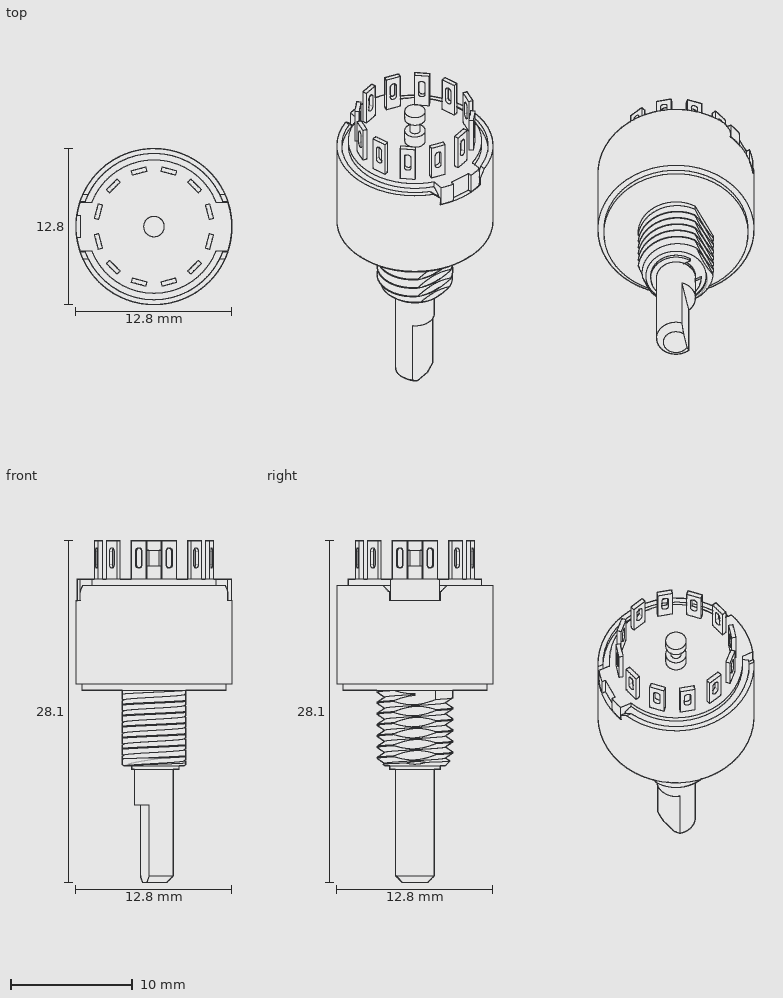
import cadquery as cq


total_length = 28.05

can_diameter = 12.81
can_radius = can_diameter / 2
flange_radius = 5.92
flange_height = 0.5
wafer_top = 9.1
rim_drop = 0.5
rim_top = wafer_top - rim_drop

wafer_radius = 5.47
groove_outer_radius = 6.0
groove_depth = rim_drop

tab_radius = 6.37
tab_half_width = 2.0
notch_half_width = 2.07
tab_height = 1.77
notch_floor = wafer_top - tab_height
notch_chamfer = 0.55
recess_half_width = 0.9

terminal_count = 12
terminal_circle_radius = 4.7
terminal_width = 1.23
terminal_thickness = 0.36
terminal_height = 3.17
eyelet_width = 0.53
eyelet_length = 1.63
eyelet_center_drop = 1.43

post_radius = 0.85
post_neck_radius = 0.42
post_base_height = 1.1
post_neck_height = 1.25

bushing_radius = 3.1
bushing_length = 6.2
bushing_flat_distance = 2.6
bushing_chamfer = 0.65
thread_root_radius = 2.5
thread_crest_width = 0.08
thread_start_depth = 0.35
thread_overcut = 0.03
thread_turns = 7
thread_length = 6.35
thread_pitch = thread_length / thread_turns

clip_radius = 2.07
clip_thickness = 0.28
clip_opening = 1.95
clip_bottom = -bushing_length - clip_thickness

shaft_radius = 1.6
shaft_seat_radius = 1.43
shaft_bottom = wafer_top + terminal_height - total_length
shaft_flat_top = -9.4
shaft_flat_distance = 0.79
shaft_flat_angle = 195
shaft_tip_chamfer = 0.55


def cylinder(radius, bottom, top):
    return cq.Workplane("XY").workplane(offset=bottom).circle(radius).extrude(top - bottom)


def centered_box(x_size, y_size, bottom, top):
    return (
        cq.Workplane("XY").workplane(offset=bottom).rect(x_size, y_size).extrude(top - bottom)
    )


def make_can():
    """Stepped can with a ring groove whose sloped floor falls outward from the rim level."""
    can = cylinder(flange_radius, 0, flange_height).union(
        cylinder(can_radius, flange_height, rim_top)
    )
    ring_groove = (
        cq.Workplane("XZ")
        .moveTo(wafer_radius, rim_top)
        .lineTo(groove_outer_radius, rim_top - groove_depth)
        .lineTo(groove_outer_radius, rim_top)
        .close()
        .revolve(360, (0, 0, 0), (0, 1, 0))
    )
    return can.cut(ring_groove)


def make_notches():
    """Two opposite notches in the can wall, with chamfered mouths."""
    mouth_half_width = notch_half_width + notch_chamfer
    through_both_walls = (
        cq.Workplane("YZ")
        .moveTo(-notch_half_width, notch_floor)
        .lineTo(-notch_half_width, rim_top - notch_chamfer)
        .lineTo(-mouth_half_width, rim_top)
        .lineTo(mouth_half_width, rim_top)
        .lineTo(notch_half_width, rim_top - notch_chamfer)
        .lineTo(notch_half_width, notch_floor)
        .close()
        .extrude(can_radius, both=True)
    )
    return through_both_walls.cut(cylinder(groove_outer_radius, 0, wafer_top))


def make_wafer():
    """Raised disc with two opposite tabs, one of them recessed."""
    disc = cylinder(wafer_radius, rim_top, wafer_top)
    tabs = cylinder(tab_radius, notch_floor, wafer_top).intersect(
        centered_box(2 * tab_radius, 2 * tab_half_width, notch_floor, wafer_top)
    )
    recess = (
        centered_box(can_radius, 2 * recess_half_width, notch_floor, wafer_top)
        .translate((-groove_outer_radius - can_radius / 2, 0, 0))
    )
    return disc.union(tabs.cut(recess))


def make_terminal(angle):
    """Upright solder tag with an eyelet, facing the axis at the given angle."""
    top = wafer_top + terminal_height
    blade = centered_box(terminal_thickness, terminal_width, wafer_top, top)
    eyelet = (
        cq.Workplane("YZ")
        .center(0, top - eyelet_center_drop)
        .slot2D(eyelet_length, eyelet_width, 90)
        .extrude(terminal_thickness, both=True)
    )
    return (
        blade.cut(eyelet)
        .translate((terminal_circle_radius, 0, 0))
        .rotate((0, 0, 0), (0, 0, 1), angle)
    )


def make_post():
    """Turret post with a narrow neck."""
    neck_bottom = wafer_top + post_base_height
    neck_top = neck_bottom + post_neck_height
    return (
        cylinder(post_radius, wafer_top, neck_bottom)
        .union(cylinder(post_neck_radius, neck_bottom, neck_top))
        .union(cylinder(post_radius, neck_top, wafer_top + terminal_height))
    )


def make_thread_groove():
    """Right-handed helical V-groove that starts at +X and runs down past the bushing end."""
    depth = bushing_radius - thread_root_radius
    crest_half_width = (thread_pitch - thread_crest_width) / 2
    mouth_radius = bushing_radius + thread_overcut
    mouth_half_width = crest_half_width * (depth + thread_overcut) / depth
    helix = cq.Wire.makeHelix(thread_pitch, thread_length, thread_root_radius)
    profile = (
        cq.Workplane("XZ")
        .moveTo(thread_root_radius, 0)
        .lineTo(mouth_radius, mouth_half_width)
        .lineTo(mouth_radius, -mouth_half_width)
        .close()
    )
    groove = profile.sweep(cq.Workplane(helix), isFrenet=True)
    return groove.translate((0, 0, -thread_start_depth - thread_length))


def make_bushing():
    """Threaded bushing with two flats and a chamfered end."""
    threaded = cylinder(bushing_radius, -bushing_length, 0).cut(make_thread_groove())
    flats = centered_box(2 * bushing_flat_distance, can_diameter, -bushing_length, 0)
    end_radius = bushing_radius - bushing_chamfer
    end_cone = (
        cq.Workplane("XY")
        .workplane(offset=-bushing_length)
        .circle(end_radius)
        .workplane(offset=bushing_length)
        .circle(end_radius + bushing_length)
        .loft(ruled=True)
    )
    return threaded.intersect(flats).intersect(end_cone)


def make_clip():
    """Retaining clip, open toward -X."""
    opening = (
        centered_box(clip_radius, clip_opening, clip_bottom, -bushing_length)
        .translate((-clip_radius / 2, 0, 0))
    )
    return cylinder(clip_radius, clip_bottom, -bushing_length).cut(opening)


def make_shaft():
    """D-shaft that turns in the bushing, with a seat turned down for the clip."""
    upper = cylinder(shaft_radius, -bushing_length, 0)
    seat = cylinder(shaft_seat_radius, clip_bottom, -bushing_length)
    lower = cylinder(shaft_radius, shaft_bottom, clip_bottom)
    lower = lower.faces("<Z").chamfer(shaft_tip_chamfer)
    flat = (
        centered_box(shaft_radius, 2 * shaft_radius, shaft_bottom, shaft_flat_top)
        .translate((shaft_flat_distance + shaft_radius / 2, 0, 0))
        .rotate((0, 0, 0), (0, 0, 1), shaft_flat_angle)
    )
    return lower.cut(flat).union(seat).union(upper)


def make_housing(bore):
    """Can, wafer, terminals, post, bushing and clip in one piece, bored to fit the shaft."""
    housing = make_can().cut(make_notches()).union(make_wafer()).union(make_post())
    step = 360 / terminal_count
    for index in range(terminal_count):
        housing = housing.union(make_terminal((index + 0.5) * step))
    return housing.union(make_bushing()).union(make_clip()).cut(bore)


shaft = make_shaft()
housing = make_housing(shaft)
result = cq.Compound.makeCompound([housing.val(), shaft.val()])